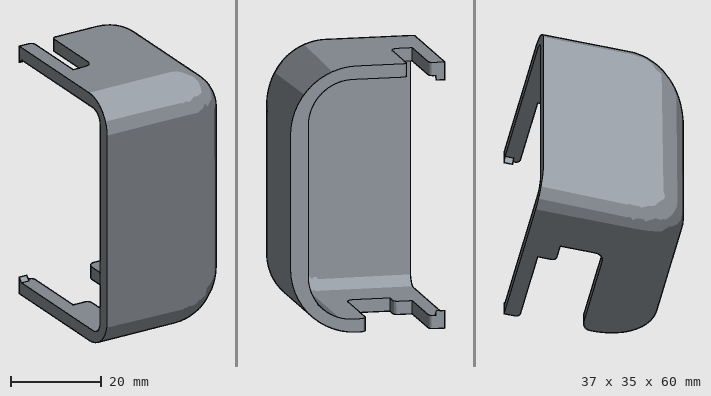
import cadquery as cq

WIDTH = 37.0
DEPTH = 35.0
HEIGHT = 60.0
WALL = 3.0
BACK_WALL = 4.0

OUTER_CORNER_RADIUS = 7.5
OUTER_BACK_RADIUS = 15.0
INNER_CORNER_RADIUS = 3.0
INNER_BACK_RADIUS = 10.0

ARM_WIDTH = 3.55
SLOT_LENGTH = 17.0
SLOT_CORNER_RADIUS = 2.0
MOUTH_RADIUS = 1.0
TOP_SLOT_WIDTH = 5.0
BOTTOM_SLOT_WIDTH = 14.1
BOTTOM_SLOT_LENGTH = 21.0
BOTTOM_MOUTH_RADIUS = 2.0
TOOTH_WIDTH = 4.15
TOOTH_RADIUS = 1.0

CATCH_SIZE = 1.0
CATCH_WIDTH = 2.0


def rounded_block(width, depth, height, corner_radius, back_radius):
    """Block with its right corners and its back edges rounded, left and front faces flat."""
    block = cq.Workplane("XY").box(width, depth, height, centered=(False, False, True))
    block = block.faces(">Y").edges("not <X").fillet(back_radius)
    return block.faces(">X").edges("|Y").fillet(corner_radius)


def wall_cutter(outline, wall_bottom):
    """Extrude a slot outline through one wall."""
    return outline.close().extrude(WALL).translate((0, 0, wall_bottom))


def round_at(cutter, x, y, radius):
    """Round the upright edge of a cutter that stands at (x, y)."""
    reach = 0.05
    selector = cq.selectors.BoxSelector(
        (x - reach, y - reach, -HEIGHT), (x + reach, y + reach, HEIGHT)
    )
    return cutter.edges("|Z").edges(selector).fillet(radius)


def mouth_flare(y, side, radius, wall_bottom):
    """Material removed to round a slot mouth; side is +1 or -1 along Y, away from the slot."""
    outline = (
        cq.Workplane("XY")
        .moveTo(0, y)
        .lineTo(radius, y)
        .radiusArc((0, y + side * radius), side * radius)
    )
    return wall_cutter(outline, wall_bottom)


def slot(outline, width, far_mouth_radius, length, wall_bottom):
    """Slot cutter with a rounded far corner and a rounded mouth."""
    far_side = ARM_WIDTH + width
    cutter = wall_cutter(outline, wall_bottom)
    cutter = round_at(cutter, length, far_side, SLOT_CORNER_RADIUS)
    cutter = cutter.union(mouth_flare(ARM_WIDTH, -1, MOUTH_RADIUS, wall_bottom))
    return cutter.union(mouth_flare(far_side, 1, far_mouth_radius, wall_bottom))


def top_slot():
    far_side = ARM_WIDTH + TOP_SLOT_WIDTH
    outline = cq.Workplane("XY").polyline(
        [(0, ARM_WIDTH), (SLOT_LENGTH, ARM_WIDTH), (SLOT_LENGTH, far_side), (0, far_side)]
    )
    return slot(outline, TOP_SLOT_WIDTH, MOUTH_RADIUS, SLOT_LENGTH, HEIGHT / 2 - WALL)


def bottom_slot():
    """Wider slot whose closed end keeps a rounded tooth beside the arm."""
    far_side = ARM_WIDTH + BOTTOM_SLOT_WIDTH
    tooth_side = ARM_WIDTH + TOOTH_WIDTH
    outline = cq.Workplane("XY").polyline(
        [
            (0, ARM_WIDTH),
            (SLOT_LENGTH, ARM_WIDTH),
            (SLOT_LENGTH, tooth_side),
            (BOTTOM_SLOT_LENGTH, tooth_side),
            (BOTTOM_SLOT_LENGTH, far_side),
            (0, far_side),
        ]
    )
    cutter = slot(
        outline, BOTTOM_SLOT_WIDTH, BOTTOM_MOUTH_RADIUS, BOTTOM_SLOT_LENGTH, -HEIGHT / 2
    )
    return round_at(cutter, SLOT_LENGTH, tooth_side, TOOTH_RADIUS)


def catch(side):
    """Wedge at an arm tip; side is +1 for the top arm and -1 for the bottom arm."""
    wall_face = side * (HEIGHT / 2 - WALL)
    return (
        cq.Workplane("XZ")
        .polyline([(0, wall_face), (CATCH_SIZE, wall_face), (0, wall_face - side * CATCH_SIZE)])
        .close()
        .extrude(-CATCH_WIDTH)
    )


shell = rounded_block(WIDTH, DEPTH, HEIGHT, OUTER_CORNER_RADIUS, OUTER_BACK_RADIUS)
cavity = rounded_block(
    WIDTH - WALL, DEPTH - BACK_WALL, HEIGHT - 2 * WALL, INNER_CORNER_RADIUS, INNER_BACK_RADIUS
)
result = shell.cut(cavity).cut(top_slot()).cut(bottom_slot())
for side in (1, -1):
    result = result.union(catch(side))